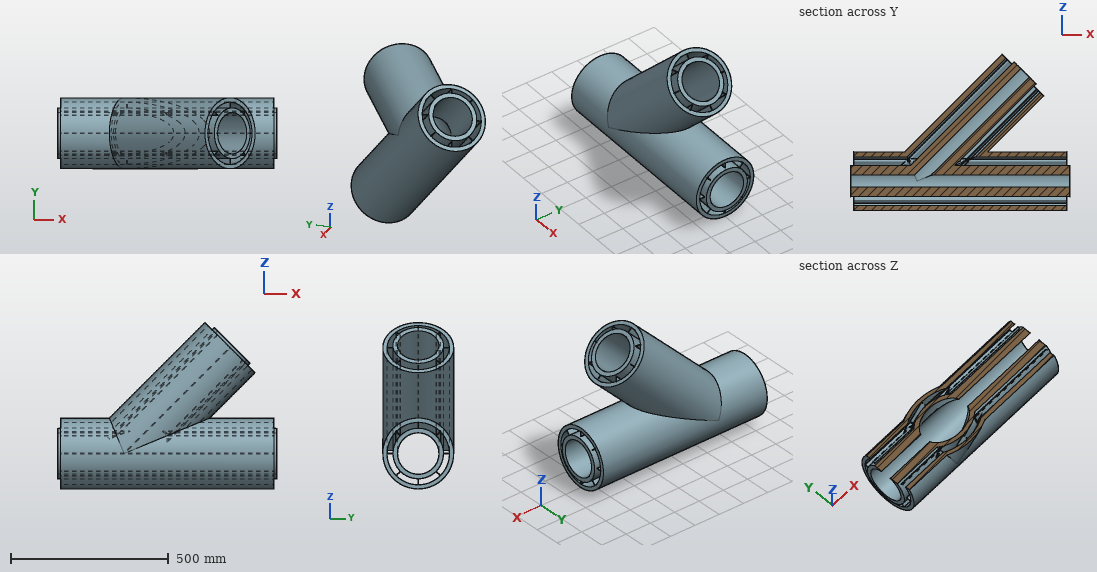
import cadquery as cq
import math

overall_length = 694.0
sleeve_outer_d = 225.0
sleeve_inner_d = 197.0
tube_outer_d = 160.0
tube_inner_d = 130.5
tube_overhang = 10.0
overall_height = 527.5
branch_angle = 45.0
branch_root_x = -137.0
rib_thickness = 2.0
rib_count = 8
branch_rib_floor = 9.0
wall_overlap = 1.5

sleeve_length = overall_length - 2 * tube_overhang
angle = math.radians(branch_angle)
sleeve_outer_r = sleeve_outer_d / 2
branch_top_z = overall_height - sleeve_outer_r
branch_length = (branch_top_z - sleeve_outer_r * math.cos(angle)) / math.sin(angle)

run_plane = cq.Plane(origin=(0, 0, 0), xDir=(0, 1, 0), normal=(1, 0, 0))
branch_plane = cq.Plane(
    origin=(branch_root_x, 0, 0),
    xDir=(0, 1, 0),
    normal=(math.cos(angle), 0, math.sin(angle)),
)


def rod(plane, diameter, start, end):
    """Cylinder along the plane normal between two stations."""
    return cq.Workplane(plane).workplane(offset=start).circle(diameter / 2).extrude(end - start)


def tee(diameter, overhang):
    """Solid run and branch, extended past the sleeve ends by the overhang."""
    half_run = sleeve_length / 2 + overhang
    run = rod(run_plane, diameter, -half_run, half_run)
    branch = rod(branch_plane, diameter, 0, branch_length + overhang)
    return run.union(branch)


def ribs(plane, start, end):
    """Evenly spaced radial webs spanning the gap between tube and sleeve."""
    inner_r = tube_outer_d / 2 - wall_overlap
    outer_r = sleeve_inner_d / 2 + wall_overlap
    return (
        cq.Workplane(plane)
        .workplane(offset=start)
        .polarArray((inner_r + outer_r) / 2, 0, 360, rib_count)
        .rect(outer_r - inner_r, rib_thickness)
        .extrude(end - start)
    )


sleeve = tee(sleeve_outer_d, 0).cut(tee(sleeve_inner_d, tube_overhang))
tube_bore = tee(tube_inner_d, tube_overhang)
tube = tee(tube_outer_d, tube_overhang)
run_ribs = ribs(run_plane, -sleeve_length / 2, sleeve_length / 2)
below_floor = cq.Workplane("XY", origin=(0, 0, branch_rib_floor)).rect(
    overall_length, overall_length
).extrude(-overall_height)
branch_ribs = ribs(branch_plane, 0, branch_length).cut(below_floor)

result = sleeve.union(tube).union(run_ribs).union(branch_ribs).cut(tube_bore)